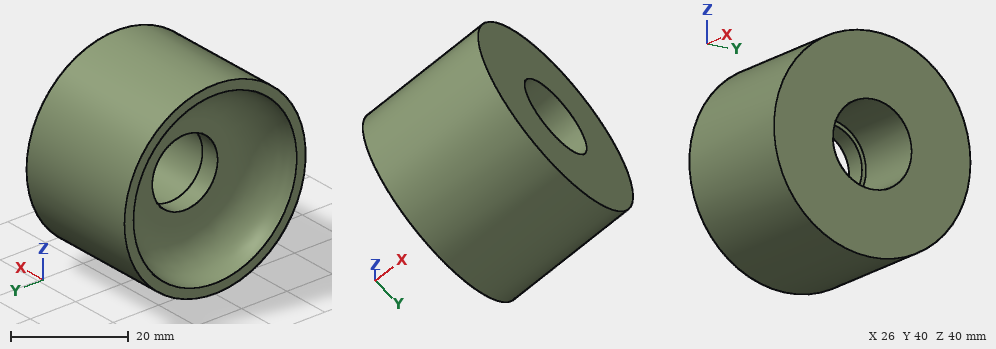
import cadquery as cq

length = 26.0
outer_diameter = 40.0
rim_width = 2.0
floor_diameter = 20.0
neck_diameter = 14.4
neck_length = 4.0
bore_diameter = 16.0

outer_radius = outer_diameter / 2
recess_radius = outer_radius - rim_width
floor_radius = floor_diameter / 2
cove_radius = recess_radius - floor_radius
recess_depth = cove_radius
bore_start = recess_depth + neck_length


def make_cylinder(diameter, start, end):
    """Solid cylinder on the X axis between two X positions."""
    return cq.Workplane("YZ", origin=(start, 0, 0)).circle(diameter / 2).extrude(end - start)


def make_recess():
    """Dished recess: a flat floor joined to the rim by a concave quarter-round."""
    profile = (
        cq.Workplane("XY")
        .lineTo(0, recess_radius)
        .radiusArc((recess_depth, floor_radius), cove_radius)
        .lineTo(recess_depth, 0)
        .close()
    )
    return profile.revolve(360, (0, 0, 0), (1, 0, 0))


body = make_cylinder(outer_diameter, 0, length)
neck = make_cylinder(neck_diameter, 0, length)
bore = make_cylinder(bore_diameter, bore_start, length)

result = body.cut(make_recess()).cut(neck).cut(bore)